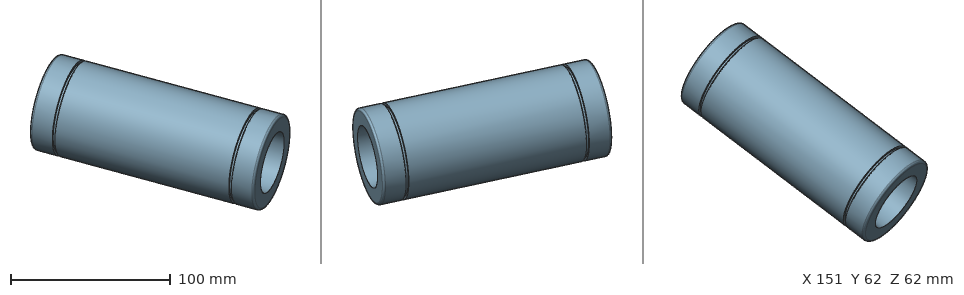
import cadquery as cq

length = 151.0
outer_diameter = 62.0
bore_diameter = 40.0
edge_round = 1.5

groove_outer_span = 120.6
groove_width = 1.8
groove_diameter = 59.0


def tube(outer, inner, start, size):
    """Tube along X that begins at x = start."""
    return (
        cq.Workplane("YZ", origin=(start, 0, 0))
        .circle(outer / 2)
        .circle(inner / 2)
        .extrude(size)
    )


body = (
    cq.Workplane("YZ", origin=(-length / 2, 0, 0))
    .circle(outer_diameter / 2)
    .extrude(length)
    .faces("<X or >X")
    .edges()
    .fillet(edge_round)
)

bore = (
    cq.Workplane("YZ", origin=(-length / 2, 0, 0))
    .circle(bore_diameter / 2)
    .extrude(length)
)
result = body.cut(bore)

for groove_start in (-groove_outer_span / 2, groove_outer_span / 2 - groove_width):
    result = result.cut(tube(outer_diameter, groove_diameter, groove_start, groove_width))